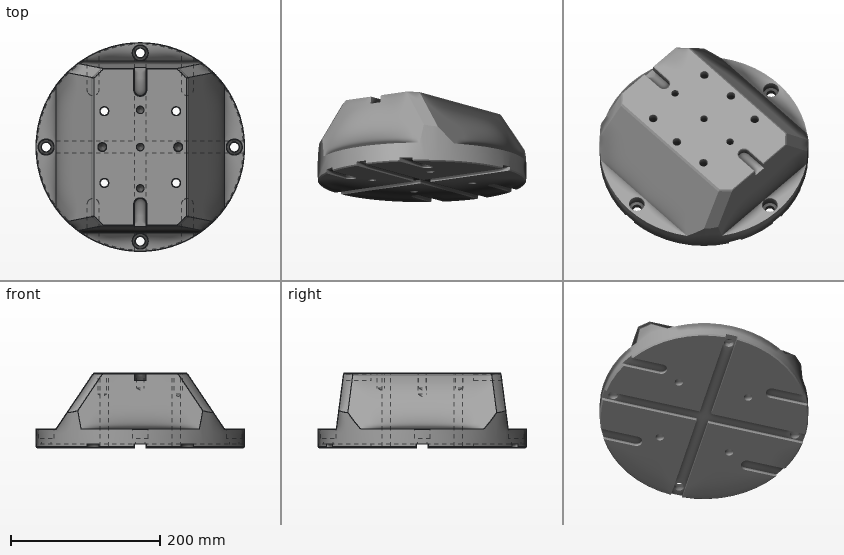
import cadquery as cq
import math

base_diameter = 279.5
base_height = 25.1
base_chamfer = 1.7

total_height = 100.0
block_height = total_height - base_height
block_foot_half_x = 113.0
block_foot_half_y = 115.0
block_top_half_x = 62.5
block_top_half_y = 105.3
corner_cut = 12.5
top_edge_chamfer = 0.8

key_width = 16.0
top_key_depth = 10.0
top_key_end_y = 68.7
top_key_chamfer = 0.8
bottom_key_depth = 5.0
side_key_x = 63.1
side_key_end_y = top_key_end_y

mount_circle_radius = 126.0
mount_hole_diameter = 12.9
mount_bore_diameter = 20.7
mount_bore_depth = 12.5
mount_bore_chamfer = 0.42

fixing_hole_diameter = 11.2
fixing_hole_chamfer = 0.42
through_hole_offset = 48.0
blind_hole_x = 50.9
blind_hole_depth = 28.0

pin_hole_diameter = 10.0
pin_hole_depth = 19.5
pin_hole_ys = [-55.3, 0, 49.7]

drill_tip_angle = 118.0
chamfer_angle = 45.0


def cylinder(x, y, bottom_z, top_z, diameter):
    return cq.Workplane(cq.Plane((x, y, bottom_z))).circle(diameter / 2).extrude(top_z - bottom_z)


def countersink(x, y, top_z, diameter, chamfer):
    """Cone that chamfers the rim of a hole by 45 degrees."""
    rim = cq.Workplane(cq.Plane((x, y, top_z - chamfer)))
    return rim.circle(diameter / 2).workplane(offset=chamfer).circle(diameter / 2 + chamfer).loft()


def drilled_hole(x, y, diameter, depth):
    """Blind hole from the top face with a conical drill tip below its full-diameter depth."""
    radius = diameter / 2
    tip_length = radius / math.tan(math.radians(drill_tip_angle / 2))
    profile = [(0, 0), (radius, 0), (radius, -depth), (0, -depth - tip_length)]
    drill = cq.Workplane("XZ").polyline(profile).close().revolve(360, (0, 0, 0), (0, 1, 0))
    return drill.translate((x, y, total_height))


def octagon(half_x, half_y):
    """Corner points of a rectangle with all four corners cut at 45 degrees."""
    inner_x = half_x - corner_cut
    inner_y = half_y - corner_cut
    return [
        (half_x, -inner_y), (half_x, inner_y), (inner_x, half_y), (-inner_x, half_y),
        (-half_x, inner_y), (-half_x, -inner_y), (-inner_x, -half_y), (inner_x, -half_y),
    ]


def key_slot(x, side, end_y, bottom_z):
    """Slot outline with a round inner end at side * end_y, running out past the rim along Y."""
    half_width = key_width / 2
    arc_start_y = side * (end_y + half_width)
    outer_y = side * base_diameter
    return (
        cq.Workplane(cq.Plane((x, 0, bottom_z)))
        .moveTo(-half_width, outer_y)
        .lineTo(-half_width, arc_start_y)
        .threePointArc((0, side * end_y), (half_width, arc_start_y))
        .lineTo(half_width, outer_y)
        .close()
    )


def make_base():
    return cylinder(0, 0, 0, base_height, base_diameter).faces("<Z").chamfer(base_chamfer)


def make_block():
    block = (
        cq.Workplane(cq.Plane((0, 0, base_height)))
        .polyline(octagon(block_foot_half_x, block_foot_half_y)).close()
        .workplane(offset=block_height)
        .polyline(octagon(block_top_half_x, block_top_half_y)).close()
        .loft(ruled=True)
    )
    chamfer_envelope = (
        cq.Workplane(cq.Plane((0, 0, total_height)))
        .polyline(octagon(block_top_half_x, block_top_half_y)).close()
        .offset2D(-top_edge_chamfer, "intersection")
        .extrude(-block_height, taper=-chamfer_angle)
    )
    base_envelope = cylinder(0, 0, base_height, total_height, base_diameter)
    return block.intersect(chamfer_envelope).intersect(base_envelope)


body = make_base().union(make_block())

for side in (-1, 1):
    slot = key_slot(0, side, top_key_end_y, total_height - top_key_depth)
    body = body.cut(slot.extrude(top_key_depth))
    flare = key_slot(0, side, top_key_end_y, total_height - top_key_chamfer)
    body = body.cut(flare.extrude(top_key_chamfer, taper=-chamfer_angle))

for size_x, size_y in ((base_diameter, key_width), (key_width, base_diameter)):
    body = body.cut(cq.Workplane("XY").rect(size_x, size_y).extrude(bottom_key_depth))

for x in (-side_key_x, side_key_x):
    for side in (-1, 1):
        body = body.cut(key_slot(x, side, side_key_end_y, 0).extrude(bottom_key_depth))

mount_places = [
    (mount_circle_radius, 0), (0, mount_circle_radius),
    (-mount_circle_radius, 0), (0, -mount_circle_radius),
]
bore_floor = base_height - mount_bore_depth
for x, y in mount_places:
    body = body.cut(cylinder(x, y, 0, base_height, mount_hole_diameter))
    body = body.cut(cylinder(x, y, bore_floor, base_height, mount_bore_diameter))
    body = body.cut(countersink(x, y, base_height, mount_bore_diameter, mount_bore_chamfer))

for x in (-through_hole_offset, through_hole_offset):
    for y in (-through_hole_offset, through_hole_offset):
        body = body.cut(cylinder(x, y, 0, total_height, fixing_hole_diameter))
        body = body.cut(countersink(x, y, total_height, fixing_hole_diameter, fixing_hole_chamfer))

for x in (-blind_hole_x, blind_hole_x):
    body = body.cut(drilled_hole(x, 0, fixing_hole_diameter, blind_hole_depth))
    body = body.cut(countersink(x, 0, total_height, fixing_hole_diameter, fixing_hole_chamfer))

for y in pin_hole_ys:
    body = body.cut(drilled_hole(0, y, pin_hole_diameter, pin_hole_depth))

result = body